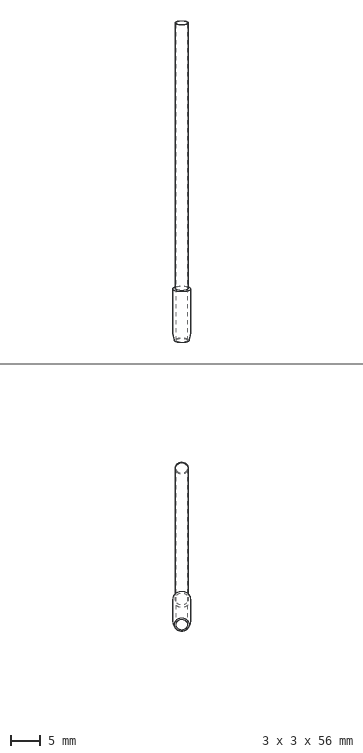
import cadquery as cq

TOTAL_LENGTH = 56.0
STEM_DIAMETER = 2.25
CORE_DIAMETER = 1.95

SLEEVE_DIAMETER = 3.0
SLEEVE_LENGTH = 9.2
SHOULDER_HEIGHT = 0.1
TIP_LENGTH = 1.2
TIP_DIAMETER = 2.5


def make_jacket():
    """Revolved outer body: tapered tip, sleeve, shoulder and stem around a through bore."""
    bore_radius = CORE_DIAMETER / 2
    stem_radius = STEM_DIAMETER / 2
    sleeve_radius = SLEEVE_DIAMETER / 2
    profile = [
        (bore_radius, 0),
        (TIP_DIAMETER / 2, 0),
        (sleeve_radius, TIP_LENGTH),
        (sleeve_radius, SLEEVE_LENGTH - SHOULDER_HEIGHT),
        (stem_radius, SLEEVE_LENGTH),
        (stem_radius, TOTAL_LENGTH),
        (bore_radius, TOTAL_LENGTH),
    ]
    return (
        cq.Workplane("XZ")
        .polyline(profile)
        .close()
        .revolve(360, (0, 0, 0), (0, 1, 0))
    )


def make_core():
    """Plain round core filling the bore from end to end."""
    return cq.Workplane("XY").circle(CORE_DIAMETER / 2).extrude(TOTAL_LENGTH)


jacket = make_jacket()
core = make_core()

result = cq.Compound.makeCompound([jacket.val(), core.val()])